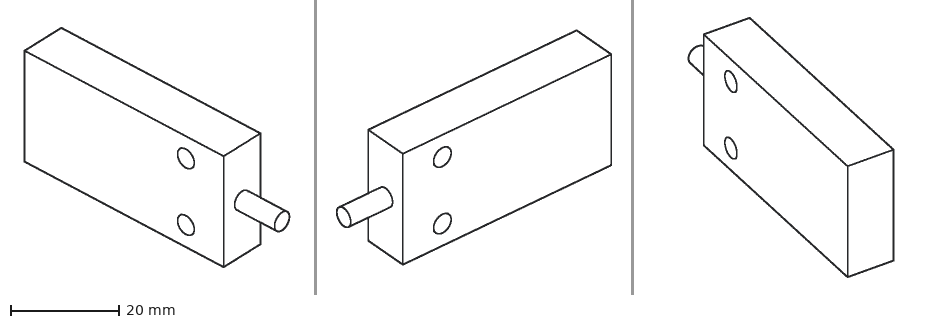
import cadquery as cq

total_length = 60.0
body_depth = 10.0
body_height = 25.0

cable_length = 10.0
cable_diameter = 4.1
body_length = total_length - cable_length

hole_diameter = 4.2
hole_spacing = 15.0
hole_to_cable_end = 9.5
hole_x = body_length - hole_to_cable_end

body = cq.Workplane("XY").box(body_length, body_depth, body_height, centered=(False, True, True))

body = (
    body.faces("<Y")
    .workplane(origin=(hole_x, 0, 0))
    .rarray(0.6, hole_spacing, 1, 2)
    .hole(hole_diameter)
)

cable = (
    cq.Workplane("YZ", origin=(body_length, 0, 0))
    .circle(cable_diameter / 2)
    .extrude(cable_length)
)

result = body.union(cable)